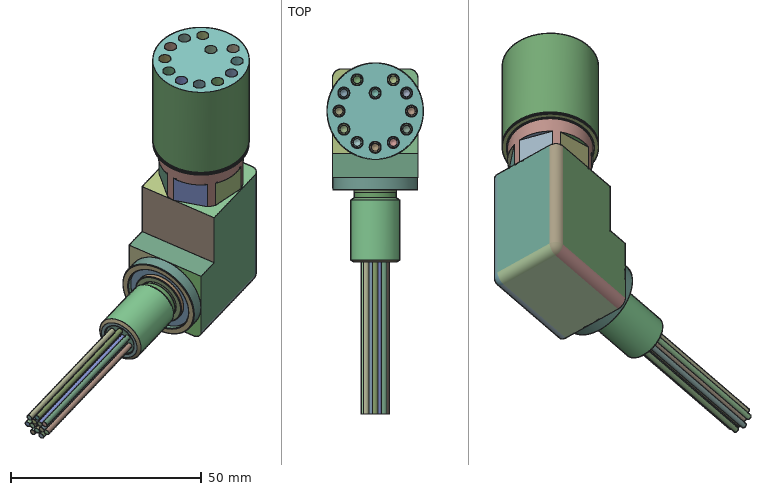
import cadquery as cq
import math


housing_width = 22.5
leg_depth = 22.2
foot_height = 22.3
housing_height = 38.3
foot_front_y = -17.4
housing_fillet = 2.5

collar_diameter = 22.5
flats_height = 7.8
flats_top_z = housing_height + flats_height
flat_count = 6
flat_distance = 10.2
first_flat_angle = -13

barrel_diameter = 25.4
barrel_bottom_z = 50.9
barrel_top_z = 80.4
shoulder_diameter = 23.2
shoulder_height = 0.3
rim_height = 0.4
rim_groove_width = 0.5
rim_groove_depth = 0.2

socket_circle_radius = 9.5
socket_pitch_angle = 30
ring_socket_count = 11
inner_socket_y = socket_circle_radius / 2
socket_diameter = 3.1
socket_depth = 4.6
contact_diameter = 2.8
contact_clearance_depth = 0.9
contact_bore_diameter = 2.0
contact_bore_depth = 1.8
contact_tip_height = 0.55

outlet_z = foot_height / 2
flange_diameter = foot_height
flange_length = 3.3
flange_chamfer = 0.2
face_groove_outer_diameter = 18.7
face_groove_inner_diameter = 14.3
face_groove_depth = 1.2

neck_diameter = 11.1
neck_length = 1.9
neck_collar_diameter = 11.3
neck_collar_length = 0.55
sleeve_diameter = 12.9
sleeve_end_y = -39.7
sleeve_rear_taper = 0.6
sleeve_front_taper = 0.55
sleeve_mouth_diameter = 8.9
sleeve_mouth_depth = 0.5
sleeve_mouth_chamfer = 0.2

wire_diameter = 1.5
outer_wire_count = 7
outer_wire_radius = 3.0
inner_wire_count = 5
inner_wire_radius = outer_wire_radius / 2
overall_length = 92.3
wire_end_y = barrel_diameter / 2 - overall_length

flange_end_y = foot_front_y - flange_length
neck_end_y = flange_end_y - neck_length


def disc(diameter, bottom_z, top_z):
    """Upright cylinder on the barrel axis."""
    return cq.Workplane("XY").workplane(offset=bottom_z).circle(diameter / 2).extrude(top_z - bottom_z)


def outlet_plane(y):
    """Sketch plane across the outlet axis; extrusions run toward -Y."""
    return cq.Workplane("XZ", origin=(0, y, outlet_z))


def polar_points(count, radius, start_angle, pitch_angle):
    angles = [math.radians(start_angle + i * pitch_angle) for i in range(count)]
    return [(radius * math.cos(a), radius * math.sin(a)) for a in angles]


def make_housing():
    leg_half = leg_depth / 2
    profile = [
        (leg_half, 0),
        (leg_half, housing_height),
        (-leg_half, housing_height),
        (-leg_half, foot_height),
        (foot_front_y, foot_height),
        (foot_front_y, 0),
    ]
    housing = cq.Workplane("YZ").polyline(profile).close().extrude(housing_width / 2, both=True)
    rear_and_bottom_edges = housing.edges("(>Y and |Z) or (<Z and |Y) or (<Z and >Y)")
    return rear_and_bottom_edges.fillet(housing_fillet)


def make_collar():
    hexagon_circumdiameter = 2 * flat_distance / math.cos(math.pi / flat_count)
    first_corner_angle = first_flat_angle + 180 / flat_count
    hexagon = (
        cq.Workplane("XY")
        .polygon(flat_count, hexagon_circumdiameter)
        .extrude(flats_height)
        .rotate((0, 0, 0), (0, 0, 1), first_corner_angle)
        .translate((0, 0, housing_height))
    )
    flats = disc(collar_diameter, housing_height, flats_top_z).intersect(hexagon)
    return flats.union(disc(collar_diameter, flats_top_z, barrel_bottom_z))


def make_socket_cutter():
    """Socket around a tubular contact with a cone-ended bore, its mouth at the origin."""
    clearance_bottom = -socket_depth - contact_clearance_depth
    bore_bottom = -socket_depth - contact_bore_depth
    profile = [
        (0, 0),
        (socket_diameter / 2, 0),
        (socket_diameter / 2, clearance_bottom),
        (contact_diameter / 2, clearance_bottom),
        (contact_diameter / 2, -socket_depth),
        (contact_bore_diameter / 2, -socket_depth),
        (contact_bore_diameter / 2, bore_bottom),
        (0, bore_bottom - contact_tip_height),
    ]
    return cq.Workplane("XZ").polyline(profile).close().revolve(360, (0, 0), (0, 1))


def make_barrel():
    barrel = disc(barrel_diameter, barrel_bottom_z, barrel_top_z)
    shoulder = disc(shoulder_diameter, barrel_bottom_z - shoulder_height, barrel_bottom_z)
    groove_bottom_z = barrel_bottom_z + rim_height
    groove_top_z = groove_bottom_z + rim_groove_width
    groove = disc(barrel_diameter, groove_bottom_z, groove_top_z).cut(
        disc(barrel_diameter - 2 * rim_groove_depth, groove_bottom_z, groove_top_z)
    )
    barrel = barrel.cut(groove).union(shoulder)
    first_angle = 90 + socket_pitch_angle
    places = polar_points(ring_socket_count, socket_circle_radius, first_angle, socket_pitch_angle)
    places.append((0, inner_socket_y))
    socket = make_socket_cutter()
    for x, y in places:
        barrel = barrel.cut(socket.translate((x, y, barrel_top_z)))
    return barrel


def make_flange():
    flange = outlet_plane(foot_front_y).circle(flange_diameter / 2).extrude(flange_length)
    groove = (
        outlet_plane(flange_end_y + face_groove_depth)
        .circle(face_groove_outer_diameter / 2)
        .circle(face_groove_inner_diameter / 2)
        .extrude(face_groove_depth)
    )
    return flange.cut(groove).faces("<Y").edges().chamfer(flange_chamfer)


def make_sleeve():
    neck_radius = neck_diameter / 2
    collar_radius = neck_collar_diameter / 2
    collar_end_y = flange_end_y - neck_collar_length
    sleeve_radius = sleeve_diameter / 2
    profile = [
        (0, flange_end_y),
        (collar_radius, flange_end_y),
        (collar_radius, collar_end_y),
        (neck_radius, collar_end_y),
        (neck_radius, neck_end_y),
        (sleeve_radius, neck_end_y - sleeve_rear_taper),
        (sleeve_radius, sleeve_end_y + sleeve_front_taper),
        (neck_radius, sleeve_end_y),
        (0, sleeve_end_y),
    ]
    sleeve = cq.Workplane("XY").polyline(profile).close().revolve(360, (0, 0), (0, 1))
    sleeve = sleeve.translate((0, 0, outlet_z))
    mouth_floor_y = sleeve_end_y + sleeve_mouth_depth
    mouth = outlet_plane(mouth_floor_y).circle(sleeve_mouth_diameter / 2).extrude(sleeve_mouth_depth)
    mouth_rim = cq.selectors.RadiusNthSelector(0)
    return sleeve.cut(mouth).faces("<Y").edges(mouth_rim).chamfer(sleeve_mouth_chamfer)


def make_wires():
    root_y = sleeve_end_y + 2 * sleeve_mouth_depth
    outer_places = polar_points(outer_wire_count, outer_wire_radius, 90, 360 / outer_wire_count)
    inner_places = polar_points(inner_wire_count, inner_wire_radius, -90, 360 / inner_wire_count)
    return (
        outlet_plane(root_y)
        .pushPoints(outer_places + inner_places)
        .circle(wire_diameter / 2)
        .extrude(root_y - wire_end_y)
    )


result = (
    make_housing()
    .union(make_collar())
    .union(make_barrel())
    .union(make_flange())
    .union(make_sleeve())
    .union(make_wires())
)